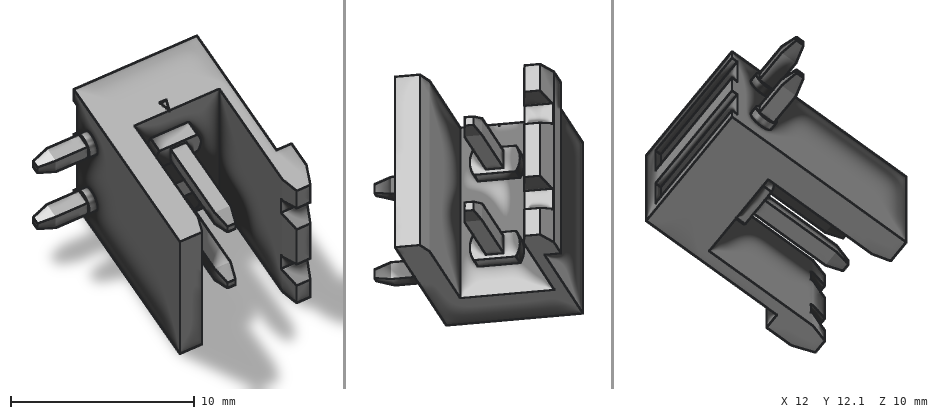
import cadquery as cq


POLE_COUNT = 2
PITCH = 5.0
HOUSING_WIDTH = POLE_COUNT * PITCH
POLE_CENTRES = [(index + 0.5) * PITCH for index in range(POLE_COUNT)]

HOUSING_LENGTH = 12.0
HOUSING_DEPTH = 7.67
OPENING_FLOOR = 3.8
OPENING_NEAR = 1.7
OPENING_FAR = 6.97
LEAD_IN_LENGTH = 1.06
LEAD_IN_RISE = 0.3
LEAD_IN_START = HOUSING_LENGTH - LEAD_IN_LENGTH

HOOK_START = 9.0
HOOK_HEIGHT = 0.93
HOOK_TAPER_LENGTH = 1.3
HOOK_TAPER_DROP = 0.47
HOOK_TOP = HOUSING_DEPTH + HOOK_HEIGHT

NOTCH_DEPTH = 1.2
NOTCH_WIDTH = 1.21
NOTCH_MOUTH_WIDTH = 1.89

POCKET_DEPTH = 0.36
POCKET_LENGTH = 6.84
POCKET_WIDTH = 3.0

PIN_SIDE = 0.99
PIN_TIP_SIDE = PIN_SIDE / 2
PIN_TIP_LENGTH = 1.0
PIN_AXIS_X = 2.0
PIN_AXIS_Y = 3.87
BOARD_PIN_LENGTH = 3.5
CONTACT_PIN_LENGTH = 7.02

COLLAR_DIAMETER = 1.42
COLLAR_HEIGHT = 0.5
SEAT_DIAMETER = 2.81
SEAT_THICKNESS = 1.5
SEAT_HEIGHT = 1.0

ARROW_LENGTH = 0.75
ARROW_WIDTH = 0.42
ARROW_DEPTH = 0.1


def make_housing():
    """U-shaped housing with lead-in slopes and a hook on the far wall."""
    outline = [
        (0, 0),
        (HOUSING_LENGTH, 0),
        (HOUSING_LENGTH, OPENING_NEAR - LEAD_IN_RISE),
        (LEAD_IN_START, OPENING_NEAR),
        (OPENING_FLOOR, OPENING_NEAR),
        (OPENING_FLOOR, OPENING_FAR),
        (LEAD_IN_START, OPENING_FAR),
        (HOUSING_LENGTH, OPENING_FAR + LEAD_IN_RISE),
        (HOUSING_LENGTH, HOOK_TOP - HOOK_TAPER_DROP),
        (HOUSING_LENGTH - HOOK_TAPER_LENGTH, HOOK_TOP),
        (HOOK_START, HOOK_TOP),
        (HOOK_START, HOUSING_DEPTH),
        (0, HOUSING_DEPTH),
    ]
    return cq.Workplane("XY").polyline(outline).close().extrude(HOUSING_WIDTH)


def make_latch_notch(z):
    """Cutter for a notch through the latch, flared along the lead-in."""
    floor = HOUSING_LENGTH - NOTCH_DEPTH
    outline = [
        (floor, z - NOTCH_WIDTH / 2),
        (LEAD_IN_START, z - NOTCH_WIDTH / 2),
        (HOUSING_LENGTH, z - NOTCH_MOUTH_WIDTH / 2),
        (HOUSING_LENGTH, z + NOTCH_MOUTH_WIDTH / 2),
        (LEAD_IN_START, z + NOTCH_WIDTH / 2),
        (floor, z + NOTCH_WIDTH / 2),
    ]
    plane = cq.Workplane("XZ", origin=(0, HOOK_TOP, 0))
    return plane.polyline(outline).close().extrude(HOOK_TOP - OPENING_FAR)


def make_back_pocket(z):
    """Cutter for a shallow pocket in the back face, open on the board side."""
    corner = cq.Workplane("XY", origin=(0, 0, z))
    return corner.box(POCKET_DEPTH, POCKET_LENGTH, POCKET_WIDTH, centered=(False, False, True))


def make_pin(root, length):
    """Square pin with a tapered tip, growing along the normal of the root plane."""
    shank_length = length - PIN_TIP_LENGTH
    shank = root.rect(PIN_SIDE, PIN_SIDE).extrude(shank_length)
    tip = (
        root.workplane(offset=shank_length)
        .rect(PIN_SIDE, PIN_SIDE)
        .workplane(offset=PIN_TIP_LENGTH)
        .rect(PIN_TIP_SIDE, PIN_TIP_SIDE)
        .loft(combine=False)
    )
    return shank.union(tip)


def make_board_pin(z):
    """Pin pointing at the board, with its round collar."""
    root = cq.Workplane("XZ", origin=(PIN_AXIS_X, 0, z))
    collar = root.circle(COLLAR_DIAMETER / 2).extrude(COLLAR_HEIGHT)
    return make_pin(root, BOARD_PIN_LENGTH).union(collar)


def make_contact_pin(z):
    """Pin inside the opening, standing on a round seat with two flats."""
    root = cq.Workplane("YZ", origin=(OPENING_FLOOR, PIN_AXIS_Y, z))
    seat = root.circle(SEAT_DIAMETER / 2).extrude(SEAT_HEIGHT)
    flats = root.rect(SEAT_DIAMETER, SEAT_THICKNESS).extrude(SEAT_HEIGHT)
    return make_pin(root, CONTACT_PIN_LENGTH).union(seat.intersect(flats))


def make_arrow():
    """Cutter for the arrow on the upper side, its point at the opening."""
    base_x = OPENING_FLOOR - ARROW_LENGTH
    outline = [
        (base_x, PIN_AXIS_Y - ARROW_WIDTH / 2),
        (OPENING_FLOOR, PIN_AXIS_Y),
        (base_x, PIN_AXIS_Y + ARROW_WIDTH / 2),
    ]
    plane = cq.Workplane("XY", origin=(0, 0, HOUSING_WIDTH))
    return plane.polyline(outline).close().extrude(-ARROW_DEPTH)


result = make_housing().cut(make_arrow())
for pole_z in POLE_CENTRES:
    result = result.cut(make_back_pocket(pole_z))
    result = result.cut(make_latch_notch(pole_z))
    result = result.union(make_board_pin(pole_z))
    result = result.union(make_contact_pin(pole_z))